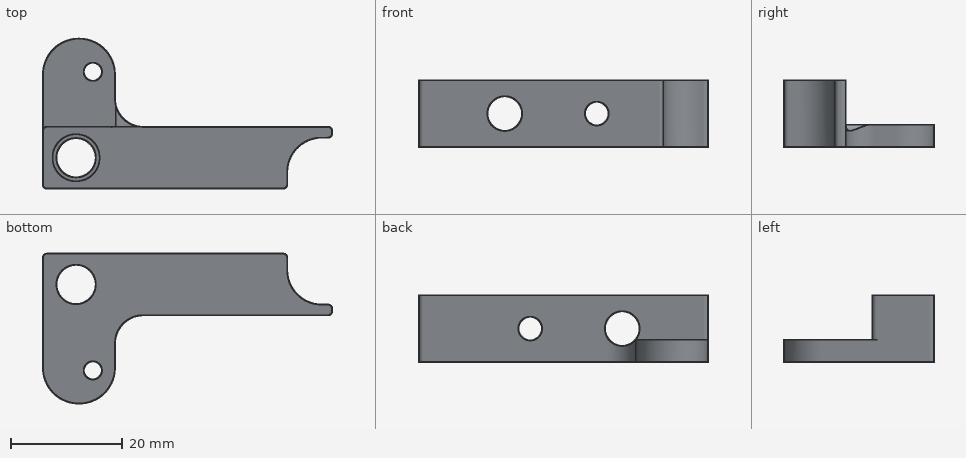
import cadquery as cq

bar_length = 52.0
bar_depth = 11.15
bar_height = 12.0
corner_radius = 0.8

tongue_thickness = 2.0
notch_start_x = 43.95
notch_radius = 6.15

total_depth = 27.0
tab_width = 13.0
tab_thickness = 4.0
web_radius = 5.0
tab_hole_diameter = 3.2
tab_hole_x = 9.0
tab_hole_y = 21.0

bore_x = 6.0
bore_diameter = 7.0
counterbore_diameter = 8.5
counterbore_depth = 1.0

large_cross_hole_x = 15.45
large_cross_hole_diameter = 6.2
small_cross_hole_x = 32.0
small_cross_hole_diameter = 4.2


def make_bar():
    """Bar with rounded vertical corners and the concave notch at its +X end."""
    notch_top_y = bar_depth - tongue_thickness
    outline = (
        cq.Workplane("XY")
        .lineTo(notch_start_x, 0)
        .lineTo(notch_start_x, notch_top_y - notch_radius)
        .radiusArc((notch_start_x + notch_radius, notch_top_y), notch_radius)
        .lineTo(bar_length, notch_top_y)
        .lineTo(bar_length, bar_depth)
        .lineTo(0, bar_depth)
        .close()
    )
    bar = outline.extrude(bar_height)
    left_corners = bar.edges("|Z and <X")
    right_corners = bar.edges("|Z and >X")
    notch_corner = bar.edges(cq.selectors.NearestToPointSelector((notch_start_x, 0, bar_height / 2)))
    return left_corners.add(right_corners).add(notch_corner).fillet(corner_radius)


def make_tab():
    """Flat tab reaching under the bar, with a semicircular +Y end."""
    end_radius = tab_width / 2
    end_center_y = total_depth - end_radius
    return (
        cq.Workplane("XY")
        .moveTo(0, bar_depth / 2)
        .lineTo(tab_width, bar_depth / 2)
        .lineTo(tab_width, end_center_y)
        .threePointArc((end_radius, total_depth), (0, end_center_y))
        .close()
        .extrude(tab_thickness)
    )


def make_web():
    """Concave web in the corner between the tab and the bar."""
    return (
        cq.Workplane("XY")
        .moveTo(tab_width, bar_depth)
        .lineTo(tab_width + web_radius, bar_depth)
        .radiusArc((tab_width, bar_depth + web_radius), web_radius)
        .close()
        .extrude(tab_thickness)
    )


def make_cross_hole(x, diameter):
    """Cutter along Y over the whole part depth, so it also grooves the web."""
    return (
        cq.Workplane("XZ")
        .center(x, bar_height / 2)
        .circle(diameter / 2)
        .extrude(-total_depth)
    )


def make_vertical_hole(x, y, diameter):
    """Cutter along Z over the whole part height."""
    return cq.Workplane("XY").center(x, y).circle(diameter / 2).extrude(bar_height)


counterbore = make_vertical_hole(bore_x, bar_depth / 2, counterbore_diameter).translate(
    (0, 0, bar_height - counterbore_depth)
)

result = (
    make_bar()
    .union(make_tab())
    .union(make_web())
    .cut(make_vertical_hole(bore_x, bar_depth / 2, bore_diameter))
    .cut(counterbore)
    .cut(make_vertical_hole(tab_hole_x, tab_hole_y, tab_hole_diameter))
    .cut(make_cross_hole(large_cross_hole_x, large_cross_hole_diameter))
    .cut(make_cross_hole(small_cross_hole_x, small_cross_hole_diameter))
)